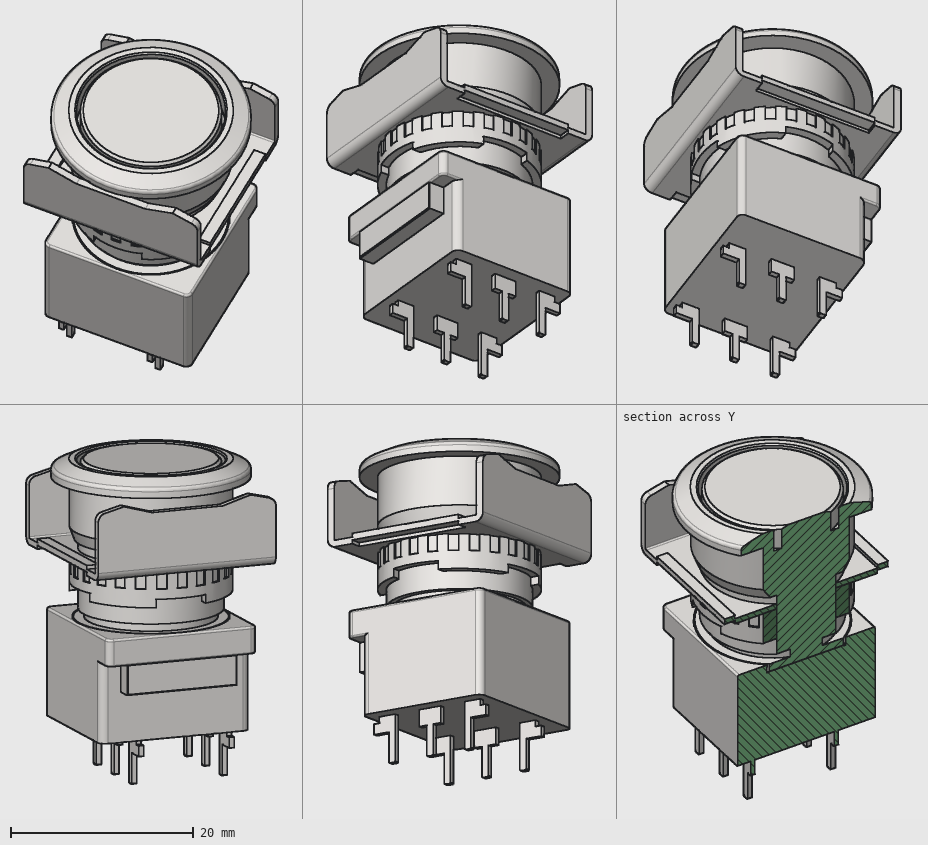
import cadquery as cq

TOTAL_HEIGHT = 35.4

BEZEL_RADIUS = 22.0 / 2
BEZEL_BOTTOM_Z = 33.4
BEZEL_SHOULDER_Z = 34.5
BEZEL_SHOULDER_FILLET = 0.5
BEZEL_FACE_RADIUS = 9.03
BARREL_RADIUS = 9.0
BARREL_BOTTOM_Z = 27.85
TAPER_BOTTOM_RADIUS = 8.45
TAPER_BOTTOM_Z = 26.45
SHANK_RADIUS = 8.05
SHANK_BOTTOM_Z = 18.6
NECK_RADIUS = 7.35
FLANGE_RADIUS = 8.53
FLANGE_THICKNESS = 1.05

GROOVE_OUTER_RADIUS = 8.18
GROOVE_INNER_RADIUS = 7.75
GROOVE_DEPTH = 2.83
GROOVE_OUTER_CHAMFER = 0.18
PUSH_FACE_CHAMFER = 0.32

BRACKET_LENGTH_X = 21.15
BRACKET_WIDTH_Y = 20.65
BRACKET_BOTTOM_Z = 24.6
PLATE_THICKNESS = 0.75
EAR_THICKNESS = 0.9
BEND_OUTER_RADIUS = 1.0
BEND_INNER_RADIUS = 0.18
EAR_PEAK_X = 7.55
EAR_PEAK_Z = 32.8
EAR_DIP_HALF_LENGTH = 4.18
EAR_DIP_Z = 31.85
EAR_END_Z = 32.07
EAR_CORNER_FILLET = 1.0
STEP_LENGTH_Y = 14.1
STEP_WIDTH_X = 1.38
STEP_RISE = 0.42

NUT_TOP_Z = BRACKET_BOTTOM_Z
NUT_RADIUS = BARREL_RADIUS
NOTCH_TOP_Z = 21.6
NUT_BOTTOM_Z = 20.65
SLOT_COUNT = 24
SLOT_WIDTH = 1.15
SLOT_DEPTH = 0.2
SLOT_BOTTOM_Z = 22.73
NOTCH_WIDTH = 5.88

BLOCK_WIDTH = 17.8
BLOCK_TOP_Z = 17.63
BLOCK_BOTTOM_Z = 5.45
BLOCK_CORNER_FILLET = 0.75
BLOCK_TOP_FILLET = 0.25
SOCKET_CLEARANCE = 0.15
OVERHANG_BOTTOM_Z = 14.5
OVERHANG_DEPTH = 1.95
OVERHANG_FILLET = 0.2
LOWER_CORNER_FILLET = 0.9
LEVER_WIDTH_X = 13.03
LEVER_BOTTOM_Z = 11.15
LEVER_CHAMFER = 0.1

TERMINAL_ROWS_X = (-6.9, 3.85)
TERMINAL_THICKNESS = 0.6
PIN_WIDTH = 0.85
PIN_TIP_CHAMFER = 0.1
TERMINAL_SHOULDER_Z = 3.55
FOOT_TOP_Z = 4.75
MIDDLE_TAB_WIDTH = 2.83
END_PIN_INNER_Y = 4.6
END_TAB_OUTER_Y = 6.7
END_FOOT_OUTER_Y = 7.45

BLOCK_HALF = BLOCK_WIDTH / 2
TERMINAL_CENTRE_Y = -OVERHANG_DEPTH / 2


def cylinder(radius, bottom_z, top_z):
    return cq.Workplane("XY").workplane(offset=bottom_z).circle(radius).extrude(top_z - bottom_z)


def box(x_range, y_range, z_range):
    size = [high - low for low, high in (x_range, y_range, z_range)]
    corner = (x_range[0], y_range[0], z_range[0])
    return cq.Workplane("XY").box(*size, centered=False).translate(corner)


def make_operator():
    profile = [
        (0, BLOCK_TOP_Z - FLANGE_THICKNESS),
        (FLANGE_RADIUS, BLOCK_TOP_Z - FLANGE_THICKNESS),
        (FLANGE_RADIUS, BLOCK_TOP_Z),
        (NECK_RADIUS, BLOCK_TOP_Z),
        (NECK_RADIUS, SHANK_BOTTOM_Z),
        (SHANK_RADIUS, SHANK_BOTTOM_Z),
        (SHANK_RADIUS, TAPER_BOTTOM_Z),
        (TAPER_BOTTOM_RADIUS, TAPER_BOTTOM_Z),
        (BARREL_RADIUS, BARREL_BOTTOM_Z),
        (BARREL_RADIUS, BEZEL_BOTTOM_Z),
        (BEZEL_RADIUS, BEZEL_BOTTOM_Z),
        (BEZEL_RADIUS, BEZEL_SHOULDER_Z),
        (BEZEL_FACE_RADIUS, TOTAL_HEIGHT),
        (0, TOTAL_HEIGHT),
    ]
    body = cq.Workplane("XZ").polyline(profile).close().revolve(360, (0, 0), (0, 1))
    shoulder_point = (0, -BEZEL_RADIUS, BEZEL_SHOULDER_Z)
    body = body.edges(cq.NearestToPointSelector(shoulder_point)).fillet(BEZEL_SHOULDER_FILLET)
    return body.cut(push_face_groove())


def push_face_groove():
    floor_z = TOTAL_HEIGHT - GROOVE_DEPTH
    profile = [
        (GROOVE_INNER_RADIUS, floor_z),
        (GROOVE_OUTER_RADIUS, floor_z),
        (GROOVE_OUTER_RADIUS, TOTAL_HEIGHT - GROOVE_OUTER_CHAMFER),
        (GROOVE_OUTER_RADIUS + GROOVE_OUTER_CHAMFER, TOTAL_HEIGHT),
        (GROOVE_INNER_RADIUS - PUSH_FACE_CHAMFER, TOTAL_HEIGHT),
        (GROOVE_INNER_RADIUS, TOTAL_HEIGHT - PUSH_FACE_CHAMFER),
    ]
    return cq.Workplane("XZ").polyline(profile).close().revolve(360, (0, 0), (0, 1))


def make_bracket():
    half_x = BRACKET_LENGTH_X / 2
    half_y = BRACKET_WIDTH_Y / 2
    inner_y = half_y - EAR_THICKNESS
    plate_top_z = BRACKET_BOTTOM_Z + PLATE_THICKNESS

    section = [
        (-half_y, BRACKET_BOTTOM_Z),
        (half_y, BRACKET_BOTTOM_Z),
        (half_y, EAR_PEAK_Z),
        (inner_y, EAR_PEAK_Z),
        (inner_y, plate_top_z),
        (-inner_y, plate_top_z),
        (-inner_y, EAR_PEAK_Z),
        (-half_y, EAR_PEAK_Z),
    ]
    channel = cq.Workplane("YZ").polyline(section).close().extrude(half_x, both=True)
    channel = channel.edges("|X and <Z").fillet(BEND_OUTER_RADIUS)
    for side in (-1, 1):
        inner_corner = cq.NearestToPointSelector((0, side * inner_y, plate_top_z))
        channel = channel.edges(inner_corner).fillet(BEND_INNER_RADIUS)

    outline = [
        (-half_x, BRACKET_BOTTOM_Z),
        (half_x, BRACKET_BOTTOM_Z),
        (half_x, EAR_END_Z),
        (EAR_PEAK_X, EAR_PEAK_Z),
        (EAR_DIP_HALF_LENGTH, EAR_DIP_Z),
        (-EAR_DIP_HALF_LENGTH, EAR_DIP_Z),
        (-EAR_PEAK_X, EAR_PEAK_Z),
        (-half_x, EAR_END_Z),
    ]
    envelope = cq.Workplane("XZ").polyline(outline).close().extrude(half_y, both=True)
    for side in (-1, 1):
        ear_corner = cq.NearestToPointSelector((side * half_x, 0, EAR_END_Z))
        envelope = envelope.edges(ear_corner).fillet(EAR_CORNER_FILLET)
    bracket = channel.intersect(envelope)

    step_y = (-STEP_LENGTH_Y / 2, STEP_LENGTH_Y / 2)
    for step_x in ((-half_x, STEP_WIDTH_X - half_x), (half_x - STEP_WIDTH_X, half_x)):
        bracket = bracket.cut(box(step_x, step_y, (BRACKET_BOTTOM_Z, BRACKET_BOTTOM_Z + STEP_RISE)))
        bracket = bracket.union(box(step_x, step_y, (BRACKET_BOTTOM_Z + STEP_RISE, plate_top_z + STEP_RISE)))

    return bracket.cut(cylinder(SHANK_RADIUS, BRACKET_BOTTOM_Z, plate_top_z))


def make_nut():
    nut = cylinder(NUT_RADIUS, NUT_BOTTOM_Z, NUT_TOP_Z)

    slot_floor = NUT_RADIUS - SLOT_DEPTH
    slot_ring = cylinder(NUT_RADIUS, SLOT_BOTTOM_Z, NUT_TOP_Z).cut(
        cylinder(slot_floor, SLOT_BOTTOM_Z, NUT_TOP_Z)
    )
    slot_half = SLOT_WIDTH / 2
    slot_bar = box((0, NUT_RADIUS), (-slot_half, slot_half), (SLOT_BOTTOM_Z, NUT_TOP_Z))
    slot = slot_bar.intersect(slot_ring)
    for index in range(SLOT_COUNT):
        nut = nut.cut(slot.rotate((0, 0, 0), (0, 0, 1), index * 360 / SLOT_COUNT))

    notch_half = NOTCH_WIDTH / 2
    across = (-NUT_RADIUS, NUT_RADIUS)
    notch_z = (NUT_BOTTOM_Z, NOTCH_TOP_Z)
    nut = nut.cut(box(across, (-notch_half, notch_half), notch_z))
    nut = nut.cut(box((-notch_half, notch_half), across, notch_z))
    return nut.cut(cylinder(SHANK_RADIUS, NUT_BOTTOM_Z, NUT_TOP_Z))


def make_contact_block():
    sides = (-BLOCK_HALF, BLOCK_HALF)
    lower_back_y = BLOCK_HALF - OVERHANG_DEPTH

    cap = box(sides, sides, (OVERHANG_BOTTOM_Z, BLOCK_TOP_Z))
    cap = cap.edges("|Z").fillet(BLOCK_CORNER_FILLET)
    cap = cap.faces(">Z").edges().fillet(BLOCK_TOP_FILLET)
    cap = cap.faces("<Z").edges().fillet(OVERHANG_FILLET)

    lower_top_z = OVERHANG_BOTTOM_Z + OVERHANG_FILLET
    lower = box(sides, (-BLOCK_HALF, lower_back_y), (BLOCK_BOTTOM_Z, lower_top_z))
    lower = lower.edges("|Z and <Y").fillet(BLOCK_CORNER_FILLET)
    lower = lower.edges("|Z and >Y").fillet(LOWER_CORNER_FILLET)

    lever_half = LEVER_WIDTH_X / 2
    lever = box((-lever_half, lever_half), (0, BLOCK_HALF), (LEVER_BOTTOM_Z, OVERHANG_BOTTOM_Z))
    lever = lever.faces(">Y").edges("|Z or <Z").chamfer(LEVER_CHAMFER)

    block = cap.union(lower).union(lever)
    for row_x in TERMINAL_ROWS_X:
        block = block.union(terminal_row(row_x))

    socket_radius = FLANGE_RADIUS + SOCKET_CLEARANCE
    return block.cut(cylinder(socket_radius, BLOCK_TOP_Z - FLANGE_THICKNESS, BLOCK_TOP_Z))


def terminal_row(row_x):
    thickness = (row_x - TERMINAL_THICKNESS / 2, row_x + TERMINAL_THICKNESS / 2)
    pin_z = (0, TERMINAL_SHOULDER_Z)
    tab_z = (TERMINAL_SHOULDER_Z, BLOCK_BOTTOM_Z)
    foot_z = (TERMINAL_SHOULDER_Z, FOOT_TOP_Z)

    def plate(y_range, z_range):
        return box(thickness, y_range, z_range)

    def pin(y_range):
        return plate(y_range, pin_z).edges("|X and <Z").chamfer(PIN_TIP_CHAMFER)

    middle_tab = plate((-MIDDLE_TAB_WIDTH / 2, MIDDLE_TAB_WIDTH / 2), tab_z)
    middle = middle_tab.union(pin((-PIN_WIDTH / 2, PIN_WIDTH / 2)))

    end = plate((END_PIN_INNER_Y, END_TAB_OUTER_Y), tab_z)
    end = end.union(plate((END_PIN_INNER_Y, END_FOOT_OUTER_Y), foot_z))
    end = end.union(pin((END_PIN_INNER_Y, END_PIN_INNER_Y + PIN_WIDTH)))

    row = middle.union(end).union(end.mirror("XZ"))
    return row.translate((0, TERMINAL_CENTRE_Y, 0))


operator = make_operator().solids()
bracket = make_bracket().solids()
nut = make_nut().solids()
contact_block = make_contact_block().solids()

result = cq.Compound.makeCompound([operator.val(), bracket.val(), nut.val(), contact_block.val()])